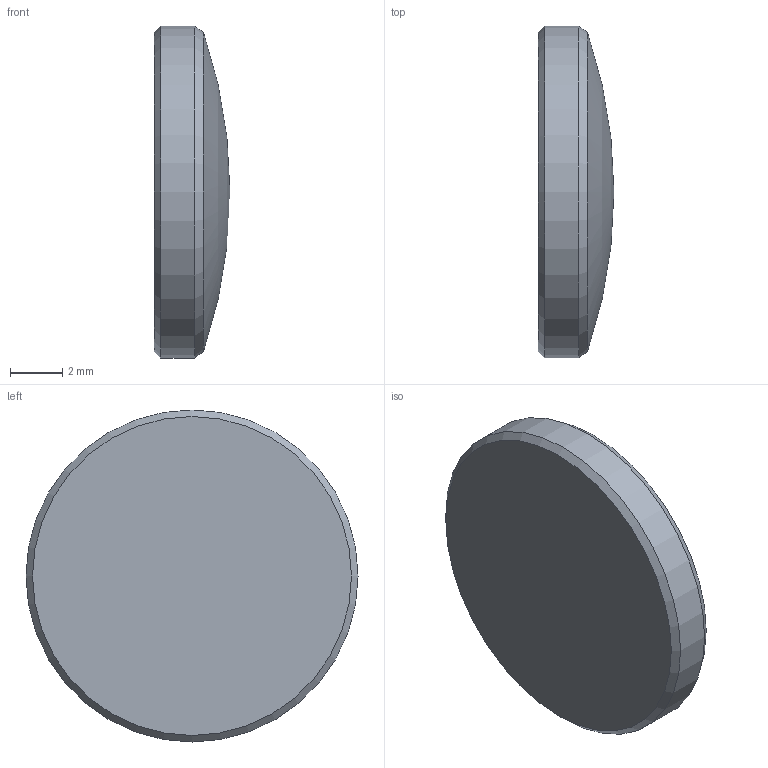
import cadquery as cq
import math

lens_diameter = 12.7
center_thickness = 2.9
dome_radius = 18.9
flat_face_bevel = 0.25
rim_length = 1.3
dome_bevel_depth = 0.25

lens_radius = lens_diameter / 2
flat_face_radius = lens_radius - flat_face_bevel
dome_edge_radius = lens_radius - dome_bevel_depth
rim_end_x = flat_face_bevel + rim_length


def dome_x(radial_distance):
    """X position of the convex face at a distance from the lens axis."""
    sphere_center_x = center_thickness - dome_radius
    return sphere_center_x + math.sqrt(dome_radius**2 - radial_distance**2)


def lens_profile():
    """Half section of the lens, with the lens axis along its lower edge."""
    arc_middle_radius = dome_edge_radius / 2
    return (
        cq.Workplane("XZ")
        .moveTo(0, 0)
        .lineTo(0, flat_face_radius)
        .lineTo(flat_face_bevel, lens_radius)
        .lineTo(rim_end_x, lens_radius)
        .lineTo(dome_x(dome_edge_radius), dome_edge_radius)
        .threePointArc(
            (dome_x(arc_middle_radius), arc_middle_radius),
            (center_thickness, 0),
        )
        .close()
    )


result = lens_profile().revolve(360, (0, 0, 0), (1, 0, 0))